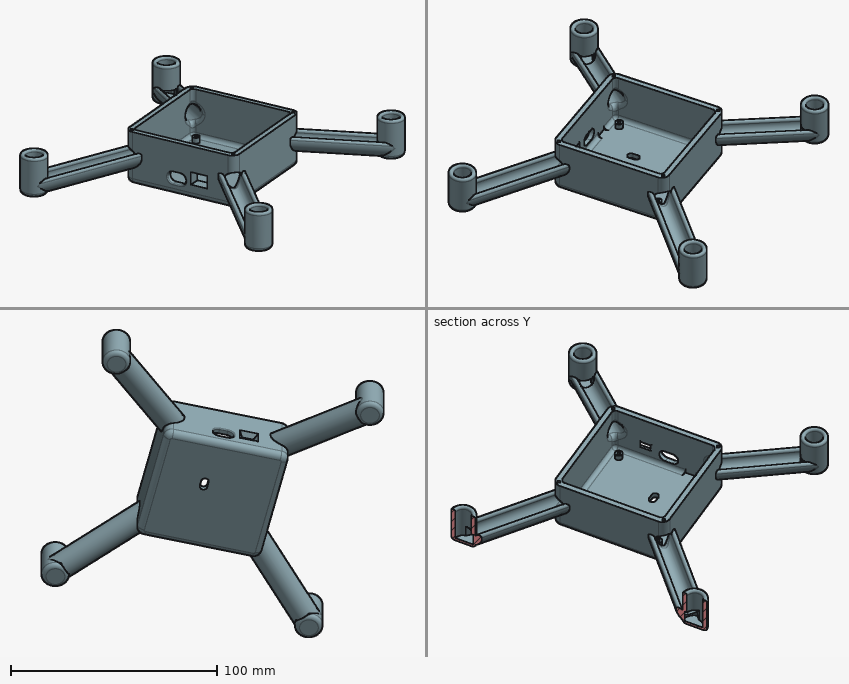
import cadquery as cq
import math

span = 140.0
case_size = 62.0
case_height = 28.0

wall = 3.0
case_corner_radius = 4.0
case_bottom_fillet = 3.4
cavity_fillet = 2.2
cavity_size = case_size - 2 * wall

screw_hole_diameter = 1.5
rim_screw_inset = 2.4
rim_screw_depth = 7.0
standoff_diameter = 3.8
standoff_height = 3.0
standoff_pitch = 45.0

tube_diameter = 13.6
bore_diameter = 8.5
pod_height = 21.0
pod_floor = 2.0
pod_bottom_fillet = 2.2
wire_opening_width = 6.7
wire_opening_height = 6.0
pod_offset = (span - tube_diameter) / 2
pod_distance = pod_offset * math.sqrt(2)
arm_slope = 10.0
arm_axis_height_at_pod = 6.3
arm_rim_rise = 0.8
arm_end_distance = 33.6
arm_angles = (45, 135, 225, 315)

passage_start = 39.2
passage_length = 19.6
passage_mouth_fillet = 2.8
passage_mouth_bottom = 8.4
passage_mouth_top = 22.4

slot_length = 10.4
slot_height = 6.3
slot_mouth_round = 0.5
slot_center_x = -2.0
slot_center_z = 9.0

window_center_x = 10.8
window_center_z = 10.9
window_outer = (9.2, 6.7)
window_inner = (5.5, 3.5)

floor_slot_length = 6.5
floor_slot_width = 3.6
floor_slot_center = (-5.5, -5.6)
notch_center_x = -14.1
notch_floor_width = 7.0
notch_wall_width = 5.9


def square_points(pitch):
    """Corners of a square of the given pitch centred on the origin."""
    half = pitch / 2
    return [(x, y) for x in (-half, half) for y in (-half, half)]


def around_z(shape):
    """Copies of a shape built on the +X axis, one for each arm direction."""
    return [shape.rotate((0, 0, 0), (0, 0, 1), angle) for angle in arm_angles]


def box_from(size, bottom):
    """Square block standing up to the case rim from the given level."""
    return (
        cq.Workplane("XY")
        .workplane(offset=bottom)
        .rect(size, size)
        .extrude(case_height - bottom)
    )


def make_case_block():
    block = box_from(case_size, 0).edges("|Z").fillet(case_corner_radius)
    return block.faces("<Z").edges().fillet(case_bottom_fillet)


def make_cavity():
    return box_from(cavity_size, wall).edges("|Z or <Z").fillet(cavity_fillet)


def make_pod():
    """Round motor pod on the +X axis, with a blind bore and a wire opening toward the case."""
    rim_round = (tube_diameter - bore_diameter) / 4
    rim_center_radius = (tube_diameter + bore_diameter) / 4
    rim_center_z = pod_height - rim_round
    pod = cq.Workplane("XY").center(pod_distance, 0).circle(tube_diameter / 2).extrude(rim_center_z)
    pod = pod.faces("<Z").edges().fillet(pod_bottom_fillet)
    bore = (
        cq.Workplane("XY")
        .workplane(offset=pod_floor)
        .center(pod_distance, 0)
        .circle(bore_diameter / 2)
        .extrude(pod_height)
    )
    rim = cq.Solid.makeTorus(rim_center_radius, rim_round, cq.Vector(pod_distance, 0, rim_center_z))
    pod = pod.cut(bore).union(cq.Workplane(rim))
    opening = cq.Workplane("XY").box(
        tube_diameter / 2, wire_opening_width, wire_opening_height, centered=(False, True, False)
    )
    return pod.cut(opening.translate((pod_distance - tube_diameter / 2, 0, pod_floor)))


def arm_sketch_plane():
    """Plane square to the sloping arm axis where it meets the pod axis; local Y points up."""
    slope = math.radians(arm_slope)
    return cq.Workplane(
        cq.Plane(
            origin=(pod_distance, 0, arm_axis_height_at_pod),
            xDir=(0, -1, 0),
            normal=(-math.cos(slope), 0, math.sin(slope)),
        )
    )


def make_arm():
    """Open channel with a U section and round rims, running above the +X axis from pod to case."""
    outer = tube_diameter / 2
    inner = bore_diameter / 2
    middle = (outer + inner) / 2
    tip_half = (outer - inner) / 2
    tip_angle = math.asin(arm_rim_rise / middle)
    across = math.cos(tip_angle)
    up = math.sin(tip_angle)
    tip_x = middle * across - tip_half * up
    tip_y = middle * up + tip_half * across
    channel = (
        arm_sketch_plane()
        .moveTo(outer * across, outer * up)
        .threePointArc((tip_x, tip_y), (inner * across, inner * up))
        .threePointArc((0, -inner), (-inner * across, inner * up))
        .threePointArc((-tip_x, tip_y), (-outer * across, outer * up))
        .threePointArc((0, -outer), (outer * across, outer * up))
        .close()
        .extrude(pod_distance - arm_end_distance)
    )
    pod_space = (
        cq.Workplane("XY")
        .workplane(offset=pod_floor)
        .center(pod_distance, 0)
        .circle(tube_diameter / 2)
        .extrude(pod_height)
    )
    below_base = cq.Workplane("XY").center(pod_distance, 0).rect(span, span).extrude(-tube_diameter)
    return channel.cut(pod_space).cut(below_base)


def make_arm_passage():
    """Round passage through the case corner, in line with the arm channel."""
    return (
        arm_sketch_plane()
        .workplane(offset=passage_start)
        .circle(bore_diameter / 2)
        .extrude(passage_length)
    )


def make_hollow():
    """Case cavity joined to the four passages, with rounded passage mouths."""
    hollow = make_cavity()
    for passage in around_z(make_arm_passage()):
        hollow = hollow.union(passage)
    reach = case_size / 2
    mouths = cq.selectors.BoxSelector(
        (-reach, -reach, passage_mouth_bottom), (reach, reach, passage_mouth_top)
    )
    return hollow.edges(mouths).edges("not |Z").fillet(passage_mouth_fillet)


def make_standoffs():
    posts = (
        cq.Workplane("XY")
        .workplane(offset=wall)
        .pushPoints(square_points(standoff_pitch))
    )
    return posts.circle(standoff_diameter / 2).circle(screw_hole_diameter / 2).extrude(standoff_height)


def make_rim_screw_holes():
    return (
        cq.Workplane("XY")
        .workplane(offset=case_height - rim_screw_depth)
        .pushPoints(square_points(case_size - 2 * rim_screw_inset))
        .circle(screw_hole_diameter / 2)
        .extrude(rim_screw_depth)
    )


def cut_plug_slot(body):
    """Cut the plug slot through the front wall and round its outer edge."""
    front_y = -case_size / 2
    slot = (
        cq.Workplane("XZ", origin=(slot_center_x, front_y, slot_center_z))
        .slot2D(slot_length, slot_height)
        .extrude(-wall)
    )
    outer_edge = cq.selectors.BoxSelector(
        (slot_center_x - slot_length / 2, front_y - wall / 2, slot_center_z - slot_height),
        (slot_center_x + slot_length / 2, front_y + wall / 4, slot_center_z + slot_height),
    )
    return body.cut(slot).edges(outer_edge).fillet(slot_mouth_round)


def make_window():
    return (
        cq.Workplane("XZ", origin=(window_center_x, -case_size / 2, window_center_z))
        .rect(*window_outer)
        .workplane(offset=-wall)
        .rect(*window_inner)
        .loft(ruled=True)
    )


def make_floor_slot():
    return (
        cq.Workplane("XY")
        .center(*floor_slot_center)
        .slot2D(floor_slot_length, floor_slot_width, 90)
        .extrude(wall)
    )


def make_floor_notch():
    """Gap in the rounded edge between the floor and the front wall."""
    wall_y = -cavity_size / 2
    floor_y = wall_y + cavity_fillet
    return (
        cq.Workplane("XY")
        .workplane(offset=wall)
        .polyline([
            (notch_center_x - notch_wall_width / 2, wall_y),
            (notch_center_x + notch_wall_width / 2, wall_y),
            (notch_center_x + notch_floor_width / 2, floor_y),
            (notch_center_x - notch_floor_width / 2, floor_y),
        ])
        .close()
        .extrude(cavity_fillet)
    )


result = make_case_block()

for arm in around_z(make_arm()):
    result = result.union(arm)

result = result.cut(make_hollow())

for pod in around_z(make_pod()):
    result = result.union(pod)

result = result.union(make_standoffs())
result = result.cut(make_rim_screw_holes())
result = cut_plug_slot(result)
result = result.cut(make_window())
result = result.cut(make_floor_slot())
result = result.cut(make_floor_notch())